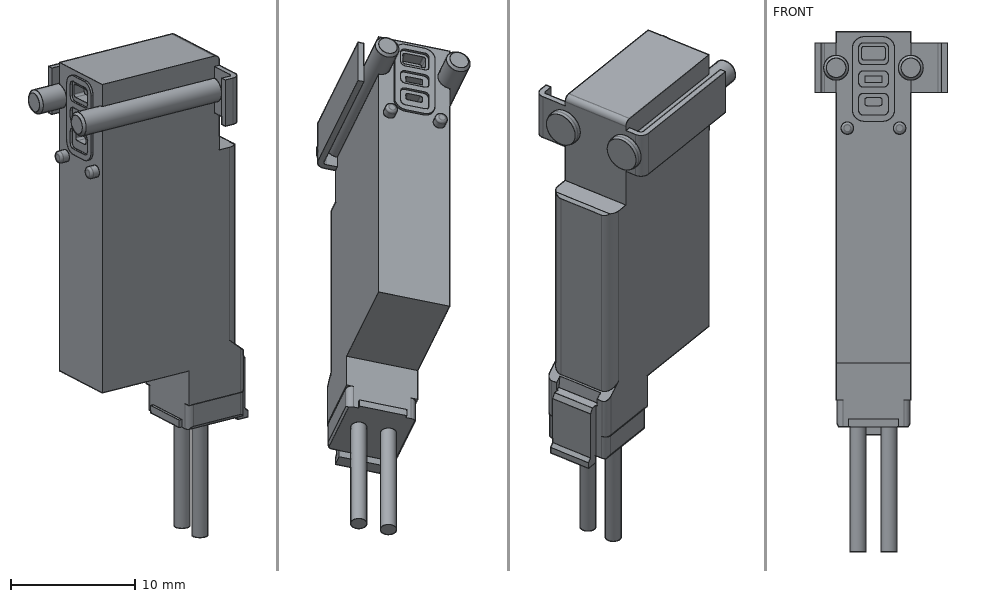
import cadquery as cq


BODY_HALF_WIDTH = 3.0
BODY_BOTTOM_Z = -26.6
HEAD_BACK_Y = 11.5
HEAD_TOP_FILLET = 0.5

REAR_BACK_Y = 13.5
REAR_TOP_Z = -8.2
REAR_CORNER_RADIUS = 1.0
REAR_TOP_CHAMFER = 0.25

BLOCK_FRONT_Y = 8.5
BLOCK_BACK_Y = 14.08
BLOCK_BOTTOM_Z = -31.75
BLOCK_BACK_RADIUS = 0.5
SLOPE_START_Y = REAR_BACK_Y - REAR_CORNER_RADIUS
SLOPE_START_Z = -24.85
SLOPE_END_Z = -26.15
FOOT_TOP_Z = -29.6
FOOT_INSET = 0.06
FOOT_HALF_WIDTH = BODY_HALF_WIDTH - FOOT_INSET
FOOT_CORNER_RADIUS = 0.5
FOOT_CHAMFER_WIDTH = 0.15
FOOT_CHAMFER_HEIGHT = 0.25

LIP_HALF_WIDTH = 2.0
LIP_TOP_Z = -31.1
LIP_DEPTH = 0.25

CLIP_HALF_WIDTH = 1.87
CLIP_TOP_Z = -26.8
CLIP_BOTTOM_Z = -32.4
CLIP_TIP_Y = 15.1
CLIP_LIP_DEPTH = 0.3
CLIP_LIP_HEIGHT = 0.55
CLIP_FACE_Y = CLIP_TIP_Y - CLIP_LIP_DEPTH
CLIP_CHAMFER_DEPTH = 0.25
CLIP_CHAMFER_HEIGHT = 0.45
RECESS_HALF_WIDTH = 2.0
RECESS_TOP_Y = 13.5
RECESS_FLOOR_Y = 13.75

SHEET = 0.5
BEND_RADIUS = 0.75
BRACKET_TOP_Z = -0.9
BRACKET_HEIGHT = 4.0
BRACKET_LEFT_X = -4.7
BRACKET_RIGHT_X = 5.95
LEFT_ARM_END_Y = 0.1
RIGHT_ARM_END_Y = 10.0
BRACKET_MID_Z = BRACKET_TOP_Z - BRACKET_HEIGHT / 2

SCREW_X = 3.0
SCREW_DIAMETER = 2.0
SCREW_TIP_Y = -2.5
SCREW_TIP_CHAMFER = 0.22
SCREW_HEAD_DIAMETER = 3.0
SCREW_HEAD_HEIGHT = 0.6
SCREW_HEAD_CHAMFER_WIDTH = 0.08
SCREW_HEAD_CHAMFER_HEIGHT = 0.25

PIN_X = 2.1
PIN_Z = -7.75
PIN_DIAMETER = 1.0
PIN_LENGTH = 0.8
PIN_FILLET = 0.22

PANEL_WIDTH = 3.4
PANEL_TOP_Z = -0.4
PANEL_BOTTOM_Z = -7.2
PANEL_RADIUS = 0.95
PANEL_THICKNESS = 0.2
WINDOW_WIDTH = 2.4
WINDOW_RADIUS = 0.4
OPENING_DEPTH = 1.0
WINDOWS = [
    (-0.9, -2.65, 1.9, -1.17, -2.28, 0.2),
    (-3.15, -4.45, 1.4, -3.55, -4.1, 0.05),
    (-4.95, -6.7, 1.4, -5.3, -5.95, 0.2),
]

WIRE_X = 1.25
WIRE_Y = 10.8
WIRE_DIAMETER = 1.3
WIRE_END_Z = -41.8


def box(x0, x1, y0, y1, z0, z1):
    return cq.Workplane("XY").box(x1 - x0, y1 - y0, z1 - z0, centered=False).translate((x0, y0, z0))


def side_profile(points, half_width):
    """Extrude a (y, z) outline symmetrically about the mid-plane."""
    return cq.Workplane("YZ").polyline(points).close().extrude(half_width, both=True)


def rod(x, z, diameter, start_y, end_y):
    """Cylinder along +Y."""
    start_plane = cq.Workplane("XZ", origin=(x, start_y, z))
    return start_plane.circle(diameter / 2).extrude(start_y - end_y)


def front_plate(width, top_z, bottom_z, radius, front_y, back_y):
    """Plate facing -Y, centred on X = 0, with rounded corners."""
    plate = box(-width / 2, width / 2, front_y, back_y, bottom_z, top_z)
    return plate.edges("|Y").fillet(radius)


def make_head():
    head = box(-BODY_HALF_WIDTH, BODY_HALF_WIDTH, 0, HEAD_BACK_Y, BODY_BOTTOM_Z, 0)
    return head.edges(">Y and >Z").fillet(HEAD_TOP_FILLET)


def make_rear_section():
    """Thicker rear part: rounded upright corners, with its top back edge chamfered straight across."""
    rear = box(
        -BODY_HALF_WIDTH, BODY_HALF_WIDTH, BLOCK_FRONT_Y, REAR_BACK_Y, BODY_BOTTOM_Z, REAR_TOP_Z
    )
    rear = rear.edges("|Z and >Y").fillet(REAR_CORNER_RADIUS)
    chamfer_cut = side_profile(
        [
            (REAR_BACK_Y - REAR_TOP_CHAMFER, REAR_TOP_Z),
            (REAR_BACK_Y, REAR_TOP_Z),
            (REAR_BACK_Y, REAR_TOP_Z - REAR_TOP_CHAMFER),
        ],
        BODY_HALF_WIDTH,
    )
    return rear.cut(chamfer_cut)


def make_foot():
    """Bottom of the cable block: rounded front corners and chamfered side edges."""
    foot = box(
        -FOOT_HALF_WIDTH, FOOT_HALF_WIDTH, BLOCK_FRONT_Y, BLOCK_BACK_Y, BLOCK_BOTTOM_Z, FOOT_TOP_Z
    )
    foot = foot.edges("|Z and <Y").fillet(FOOT_CORNER_RADIUS)
    foot = foot.edges("|Z and >Y").fillet(BLOCK_BACK_RADIUS)
    tapered = (
        cq.Workplane("XZ")
        .polyline(
            [
                (-FOOT_HALF_WIDTH, FOOT_TOP_Z),
                (FOOT_HALF_WIDTH, FOOT_TOP_Z),
                (FOOT_HALF_WIDTH, BLOCK_BOTTOM_Z + FOOT_CHAMFER_HEIGHT),
                (FOOT_HALF_WIDTH - FOOT_CHAMFER_WIDTH, BLOCK_BOTTOM_Z),
                (FOOT_CHAMFER_WIDTH - FOOT_HALF_WIDTH, BLOCK_BOTTOM_Z),
                (-FOOT_HALF_WIDTH, BLOCK_BOTTOM_Z + FOOT_CHAMFER_HEIGHT),
            ]
        )
        .close()
        .extrude(-BLOCK_BACK_Y)
    )
    return foot.intersect(tapered)


def make_cable_block():
    """Block with a sloped top, recessed in the middle above the clip."""
    block = side_profile(
        [
            (BLOCK_FRONT_Y, FOOT_TOP_Z),
            (BLOCK_FRONT_Y, SLOPE_START_Z),
            (SLOPE_START_Y, SLOPE_START_Z),
            (BLOCK_BACK_Y, SLOPE_END_Z),
            (BLOCK_BACK_Y, FOOT_TOP_Z),
        ],
        BODY_HALF_WIDTH,
    )
    block = block.edges("|Z and >Y").fillet(BLOCK_BACK_RADIUS)
    lip = box(
        -LIP_HALF_WIDTH, LIP_HALF_WIDTH, BLOCK_FRONT_Y - LIP_DEPTH, BLOCK_BACK_Y - BLOCK_BACK_RADIUS,
        BLOCK_BOTTOM_Z, LIP_TOP_Z,
    )
    return block.union(make_foot()).union(lip)


def make_recess():
    return side_profile(
        [
            (RECESS_TOP_Y, SLOPE_START_Z),
            (RECESS_FLOOR_Y, CLIP_TOP_Z),
            (BLOCK_BACK_Y, CLIP_TOP_Z),
            (BLOCK_BACK_Y, SLOPE_START_Z),
        ],
        RECESS_HALF_WIDTH,
    )


def make_clip():
    return side_profile(
        [
            (BLOCK_BACK_Y, CLIP_BOTTOM_Z),
            (CLIP_TIP_Y, CLIP_BOTTOM_Z),
            (CLIP_TIP_Y, CLIP_BOTTOM_Z + CLIP_LIP_HEIGHT),
            (CLIP_FACE_Y, CLIP_BOTTOM_Z + CLIP_LIP_HEIGHT + CLIP_LIP_DEPTH),
            (CLIP_FACE_Y, CLIP_TOP_Z - CLIP_CHAMFER_HEIGHT),
            (CLIP_FACE_Y - CLIP_CHAMFER_DEPTH, CLIP_TOP_Z),
            (BLOCK_BACK_Y, CLIP_TOP_Z),
        ],
        CLIP_HALF_WIDTH,
    )


def make_bracket():
    """Bent strip: a long left arm, a back web and a short right arm."""
    web_front_y = HEAD_BACK_Y - SHEET
    outline = [
        (BRACKET_LEFT_X, LEFT_ARM_END_Y),
        (BRACKET_LEFT_X, HEAD_BACK_Y),
        (BRACKET_RIGHT_X, HEAD_BACK_Y),
        (BRACKET_RIGHT_X, RIGHT_ARM_END_Y),
        (BRACKET_RIGHT_X - SHEET, RIGHT_ARM_END_Y),
        (BRACKET_RIGHT_X - SHEET, web_front_y),
        (BRACKET_LEFT_X + SHEET, web_front_y),
        (BRACKET_LEFT_X + SHEET, LEFT_ARM_END_Y),
    ]
    bottom_plane = cq.Workplane("XY", origin=(0, 0, BRACKET_TOP_Z - BRACKET_HEIGHT))
    bracket = bottom_plane.polyline(outline).close().extrude(BRACKET_HEIGHT)
    bracket = bracket.edges("|Z and >Y").fillet(BEND_RADIUS)
    for inner_x in (BRACKET_LEFT_X + SHEET, BRACKET_RIGHT_X - SHEET):
        inner_corner = cq.selectors.NearestToPointSelector((inner_x, web_front_y, BRACKET_MID_Z))
        bracket = bracket.edges("|Z").edges(inner_corner).fillet(BEND_RADIUS - SHEET)
    return bracket


def make_screw(x):
    shank = rod(x, BRACKET_MID_Z, SCREW_DIAMETER, SCREW_TIP_Y, HEAD_BACK_Y)
    shank = shank.faces("<Y").chamfer(SCREW_TIP_CHAMFER)
    head = rod(x, BRACKET_MID_Z, SCREW_HEAD_DIAMETER, HEAD_BACK_Y, HEAD_BACK_Y + SCREW_HEAD_HEIGHT)
    head = head.faces(">Y").chamfer(SCREW_HEAD_CHAMFER_HEIGHT, SCREW_HEAD_CHAMFER_WIDTH)
    return shank.union(head)


def make_pin(x):
    return rod(x, PIN_Z, PIN_DIAMETER, -PIN_LENGTH, PIN_LENGTH).faces("<Y").edges().fillet(PIN_FILLET)


def make_wire(x):
    end_plane = cq.Workplane("XY", origin=(x, WIRE_Y, WIRE_END_Z))
    return end_plane.circle(WIRE_DIAMETER / 2).extrude(FOOT_TOP_Z - WIRE_END_Z)


def add_panel(body):
    """Thin raised panel, windowed down to the housing face, with a pocket in each window."""
    panel = front_plate(
        PANEL_WIDTH, PANEL_TOP_Z, PANEL_BOTTOM_Z, PANEL_RADIUS, -PANEL_THICKNESS, PANEL_THICKNESS
    )
    body = body.union(panel)
    for top_z, bottom_z, opening_width, opening_top_z, opening_bottom_z, opening_radius in WINDOWS:
        window = front_plate(WINDOW_WIDTH, top_z, bottom_z, WINDOW_RADIUS, -PANEL_THICKNESS, 0)
        opening = front_plate(
            opening_width, opening_top_z, opening_bottom_z, opening_radius, -PANEL_THICKNESS, OPENING_DEPTH
        )
        body = body.cut(window).cut(opening)
    return body


body = make_head().union(make_rear_section()).union(make_cable_block())
body = body.cut(make_recess()).union(make_clip())
body = body.union(make_bracket())
body = add_panel(body)
for side in (-1, 1):
    body = body.union(make_screw(side * SCREW_X))
    body = body.union(make_pin(side * PIN_X))
    body = body.union(make_wire(side * WIRE_X))

result = body